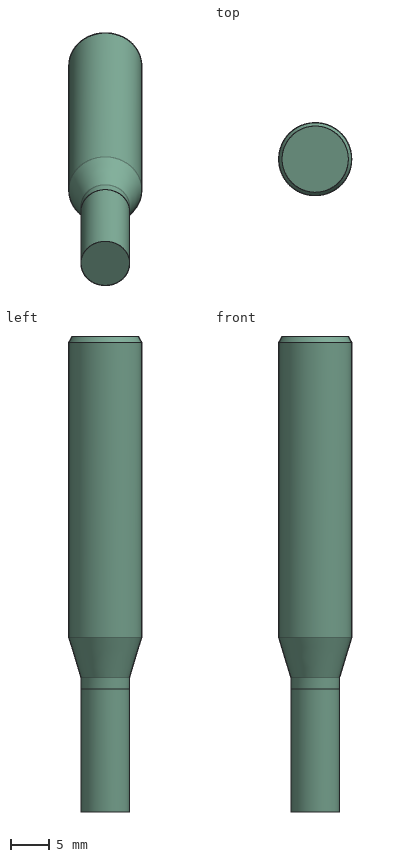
import cadquery as cq

overall_length = 61.9
shank_diameter = 9.525
tip_diameter = 6.35
tip_length = 16.0
collar_length = 1.5
taper_length = 5.2
chamfer_height = 0.8
chamfer_width = 0.45

shank_radius = shank_diameter / 2
tip_radius = tip_diameter / 2
taper_bottom = tip_length + collar_length
taper_top = taper_bottom + taper_length


def make_shank():
    """Chamfered round shank that tapers down to a short collar of the tip's diameter."""
    half_profile = (
        cq.Workplane("XZ")
        .moveTo(0, tip_length)
        .lineTo(tip_radius, tip_length)
        .lineTo(tip_radius, taper_bottom)
        .lineTo(shank_radius, taper_top)
        .lineTo(shank_radius, overall_length - chamfer_height)
        .lineTo(shank_radius - chamfer_width, overall_length)
        .lineTo(0, overall_length)
        .close()
    )
    return half_profile.revolve(360, (0, 0, 0), (0, 1, 0))


def make_tip():
    """Plain round tip that butts against the collar."""
    return cq.Workplane("XY").circle(tip_radius).extrude(tip_length)


shank = make_shank()
tip = make_tip()

result = cq.Compound.makeCompound([shank.val(), tip.val()])